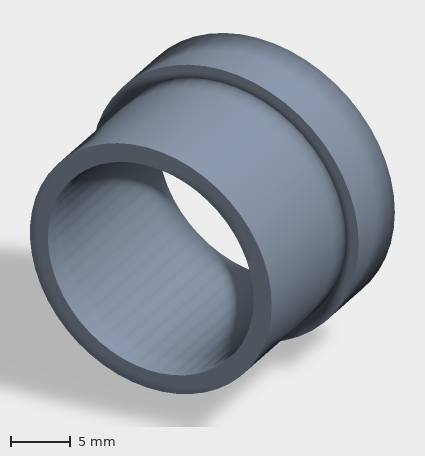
import cadquery as cq

flange_diameter = 26.0
sleeve_diameter = 23.5
bore_diameter = 20.0
total_length = 18.3
flange_length = 6.0
sleeve_length = total_length - flange_length


def cylinder_along_y(diameter, start_y, length):
    """Solid cylinder on the Y axis, running from start_y toward +Y."""
    return cq.Workplane("XZ", origin=(0, start_y, 0)).circle(diameter / 2).extrude(-length)


sleeve = cylinder_along_y(sleeve_diameter, 0, sleeve_length)
flange = cylinder_along_y(flange_diameter, sleeve_length, flange_length)
bore = cylinder_along_y(bore_diameter, 0, total_length)

result = sleeve.union(flange).cut(bore)